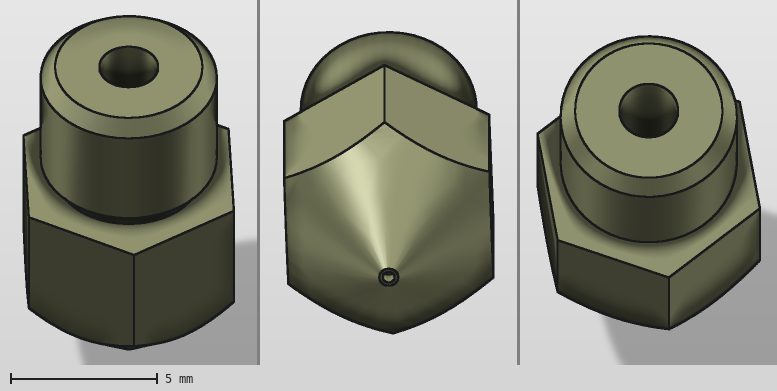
import cadquery as cq
import math

total_height = 13.0
hex_across_flats = 7.0
hex_across_corners = hex_across_flats / math.cos(math.radians(30))
hex_top = 8.0

shank_diameter = 6.0
shank_chamfer = 0.5
neck_diameter = 5.0
neck_height = 0.75

tip_diameter = 0.65

bore_diameter = 2.0
orifice_diameter = 0.4
orifice_length = 0.6
bore_cone_angle = 90.0


def make_hex_body():
    """Hexagonal prism trimmed at the bottom by the 45 degree tip cone."""
    prism = cq.Workplane("XY").polygon(6, hex_across_corners).extrude(hex_top)
    tip_radius = tip_diameter / 2
    envelope = (
        cq.Workplane("XZ")
        .moveTo(0, 0)
        .lineTo(tip_radius, 0)
        .lineTo(tip_radius + hex_top, hex_top)
        .lineTo(0, hex_top)
        .close()
        .revolve(360, (0, 0, 0), (0, 1, 0))
    )
    return prism.intersect(envelope)


def make_shank():
    """Narrow neck carrying the wider shank with a chamfered end."""
    shank_bottom = hex_top + neck_height
    neck = cq.Workplane("XY", origin=(0, 0, hex_top)).circle(neck_diameter / 2).extrude(neck_height)
    shank = (
        cq.Workplane("XY", origin=(0, 0, shank_bottom))
        .circle(shank_diameter / 2)
        .extrude(total_height - shank_bottom)
        .faces(">Z")
        .chamfer(shank_chamfer)
    )
    return neck.union(shank)


def make_bore():
    """Filament bore tapering down to the small outlet orifice."""
    bore_radius = bore_diameter / 2
    orifice_radius = orifice_diameter / 2
    cone_height = (bore_radius - orifice_radius) / math.tan(math.radians(bore_cone_angle / 2))
    bore_bottom = orifice_length + cone_height
    return (
        cq.Workplane("XZ")
        .moveTo(0, 0)
        .lineTo(orifice_radius, 0)
        .lineTo(orifice_radius, orifice_length)
        .lineTo(bore_radius, bore_bottom)
        .lineTo(bore_radius, total_height)
        .lineTo(0, total_height)
        .close()
        .revolve(360, (0, 0, 0), (0, 1, 0))
    )


result = make_hex_body().union(make_shank()).cut(make_bore())